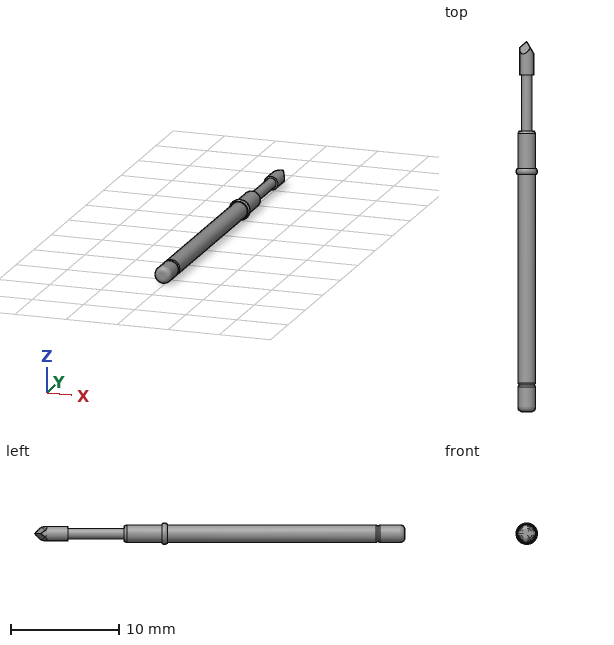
import cadquery as cq
import math

total_length = 34.3

barrel_length = 26.0
barrel_radius = 0.82
tail_round = 0.45
mouth_chamfer_length = 0.25
mouth_chamfer_depth = 0.1

collar_centre = 22.25
collar_width = 0.5
collar_radius = 1.0
collar_crown = 0.1

groove_centre = 2.5
groove_width = 0.35
groove_depth = 0.1

shaft_diameter = 1.0
head_diameter = 1.35
head_length = 3.1
facet_count = 3
facet_half_angle = 30.0


def cylinder(radius, start, length):
    """Solid cylinder on the Y axis, running from start toward +Y."""
    return cq.Workplane("XZ", origin=(0, start, 0)).circle(radius).extrude(-length)


def make_barrel():
    """Tube body with a rounded tail, crimp groove, stop collar and chamfered mouth."""
    mouth_radius = barrel_radius - mouth_chamfer_depth
    groove_rear = groove_centre - groove_width / 2
    groove_front = groove_centre + groove_width / 2
    collar_rear = collar_centre - collar_width / 2
    collar_front = collar_centre + collar_width / 2
    wall_radius = collar_radius - collar_crown
    arc_offset = tail_round * (1 - math.sqrt(0.5))
    profile = (
        cq.Workplane("XY")
        .lineTo(barrel_radius - tail_round, 0)
        .threePointArc((barrel_radius - arc_offset, arc_offset), (barrel_radius, tail_round))
        .lineTo(barrel_radius, groove_rear)
        .lineTo(barrel_radius - groove_depth, groove_centre)
        .lineTo(barrel_radius, groove_front)
        .lineTo(barrel_radius, collar_rear)
        .lineTo(wall_radius, collar_rear)
        .threePointArc((collar_radius, collar_centre), (wall_radius, collar_front))
        .lineTo(barrel_radius, collar_front)
        .lineTo(barrel_radius, barrel_length - mouth_chamfer_length)
        .lineTo(mouth_radius, barrel_length)
        .lineTo(0, barrel_length)
        .close()
    )
    return profile.revolve(360, (0, 0, 0), (0, 1, 0))


def make_tip_pyramid():
    """Three-sided pyramid that ends at the tip and encloses the head; one facet faces +X."""
    facet_distance = head_length * math.tan(math.radians(facet_half_angle))
    corner_radius = facet_distance / math.cos(math.pi / facet_count)
    corners = []
    for i in range(facet_count):
        angle = math.pi + i * 2 * math.pi / facet_count
        corners.append((corner_radius * math.cos(angle), corner_radius * math.sin(angle)))
    base_y = total_length - head_length
    base = cq.Workplane("XZ", origin=(0, base_y, 0)).polyline(corners).close()
    return base.extrude(-head_length, taper=facet_half_angle)


def make_plunger():
    """Thin shaft carrying the faceted head."""
    head_rear = total_length - head_length
    head = cylinder(head_diameter / 2, head_rear, head_length).intersect(make_tip_pyramid())
    shaft = cylinder(shaft_diameter / 2, barrel_length, head_rear - barrel_length)
    return shaft.union(head)


result = make_barrel().union(make_plunger())